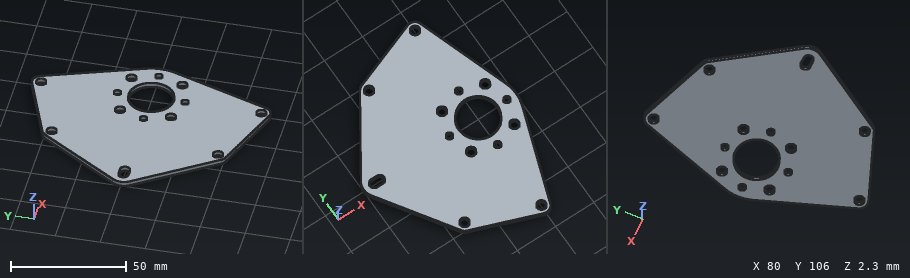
import cadquery as cq
import math

length_y = 106.0
thickness = 2.3
corner_radius = 4.0
hub_radius = 20.0
nose_radius = 7.0

bore_diameter = 20.0
large_hole_diameter = 4.3
small_hole_diameter = 3.2
small_hole_circle_radius = 15.0
large_hole_circle_radius = 16.0
slot_length = 7.3

slot_x = -53.0
tip_y = length_y / 2 - corner_radius
shoulder_x = -32.1
shoulder_y = 37.0

corners = [
    (0, 0, hub_radius),
    (0, tip_y, corner_radius),
    (shoulder_x, shoulder_y, corner_radius),
    (slot_x, 0, nose_radius),
    (shoulder_x, -shoulder_y, corner_radius),
    (0, -tip_y, corner_radius),
]


def tangent_normal_angle(start, end):
    """Direction of the outward normal of the outer tangent line between two corners."""
    dx = end[0] - start[0]
    dy = end[1] - start[1]
    radius_change = start[2] - end[2]
    return math.atan2(dy, dx) - math.acos(radius_change / math.hypot(dx, dy))


def point_on_corner(corner, angle):
    x, y, radius = corner
    return (x + radius * math.cos(angle), y + radius * math.sin(angle))


def make_plate():
    """Plate bounded by corner arcs joined by tangent straight edges."""
    count = len(corners)
    normals = [tangent_normal_angle(corners[i], corners[(i + 1) % count]) for i in range(count)]
    outline = cq.Workplane("XY").moveTo(*point_on_corner(corners[0], normals[-1]))
    for i, corner in enumerate(corners):
        arc_start = normals[i - 1]
        arc_sweep = (normals[i] - arc_start) % (2 * math.pi)
        outline = outline.threePointArc(
            point_on_corner(corner, arc_start + arc_sweep / 2),
            point_on_corner(corner, normals[i]),
        )
        if i < count - 1:
            outline = outline.lineTo(*point_on_corner(corners[i + 1], normals[i]))
    return outline.close().extrude(thickness)


def cut_holes(plate):
    """Bore, two hole circles around it, corner holes and the nose slot."""
    tips_and_shoulders = [(x, y) for x, y, _ in corners if y != 0]
    top = plate.faces(">Z").workplane(origin=(0, 0, thickness))
    return (
        top.circle(bore_diameter / 2).cutThruAll()
        .polarArray(small_hole_circle_radius, 0, 360, 4).circle(small_hole_diameter / 2).cutThruAll()
        .polarArray(large_hole_circle_radius, 45, 360, 4).circle(large_hole_diameter / 2).cutThruAll()
        .pushPoints(tips_and_shoulders).circle(large_hole_diameter / 2).cutThruAll()
        .pushPoints([(slot_x, 0)]).slot2D(slot_length, large_hole_diameter).cutThruAll()
    )


result = cut_holes(make_plate())